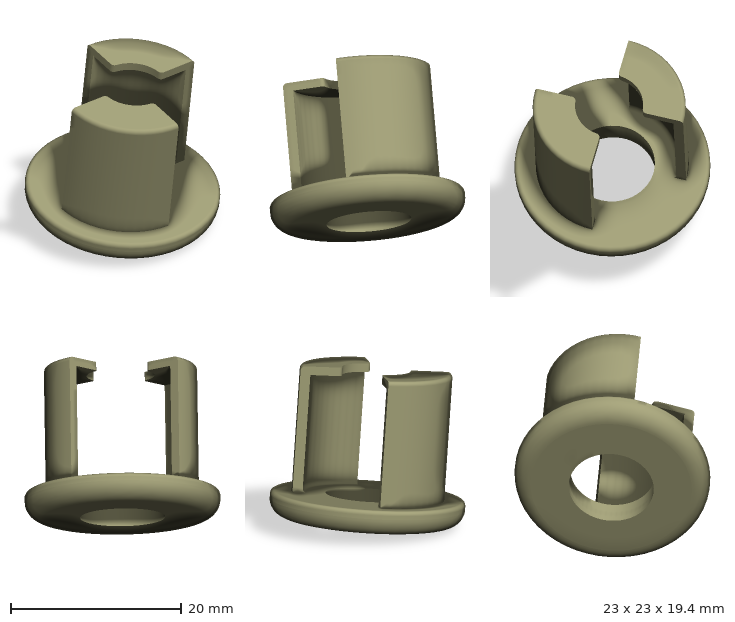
import cadquery as cq

flange_diameter = 23.0
flange_thickness = 3.0
bore_diameter = 10.0
flange_bottom_radius = 2.0
edge_radius = 0.5

wall_outer_radius = 9.0
wall_thickness = 1.2
wall_height = 15.01
lip_inner_radius = 4.0
lip_thickness = 1.01
wall_sweep = 90.0
wall_start_angle = 58.4
wall_count = 2

lean_angle = 5.0

wall_inner_radius = wall_outer_radius - wall_thickness
wall_top = flange_thickness + wall_height
lip_bottom = wall_top - lip_thickness


def make_flange():
    disc = cq.Workplane("XY").circle(flange_diameter / 2).extrude(flange_thickness)
    disc = disc.faces("<Z").edges().fillet(flange_bottom_radius)
    disc = disc.faces(">Z").edges().fillet(edge_radius)
    bore = cq.Workplane("XY").circle(bore_diameter / 2).extrude(flange_thickness)
    return disc.cut(bore)


def make_wall(start_angle):
    """Revolve the wall section, including its lip and concave inner foot."""
    foot_bottom = flange_thickness / 2
    foot_radius = wall_inner_radius - edge_radius
    section = (
        cq.Workplane("XZ")
        .moveTo(foot_radius, foot_bottom)
        .lineTo(wall_outer_radius, foot_bottom)
        .lineTo(wall_outer_radius, wall_top - edge_radius)
        .radiusArc((wall_outer_radius - edge_radius, wall_top), -edge_radius)
        .lineTo(lip_inner_radius, wall_top)
        .lineTo(lip_inner_radius, lip_bottom)
        .lineTo(wall_inner_radius, lip_bottom)
        .lineTo(wall_inner_radius, flange_thickness + edge_radius)
        .radiusArc((foot_radius, flange_thickness), edge_radius)
        .close()
    )
    wall = section.revolve(wall_sweep, (0, 0, 0), (0, 1, 0))
    reach = (lip_inner_radius + wall_inner_radius) / 2
    lip_corners = cq.selectors.BoxSelector(
        (-reach, -reach, lip_bottom),
        (reach, reach, wall_top),
    )
    wall = wall.edges("|Z").edges(lip_corners).fillet(edge_radius)
    return wall.rotate((0, 0, 0), (0, 0, 1), start_angle)


part = make_flange()
for index in range(wall_count):
    part = part.union(make_wall(wall_start_angle + index * 360 / wall_count))

result = part.rotate((0, 0, 0), (0, 1, 0), lean_angle)